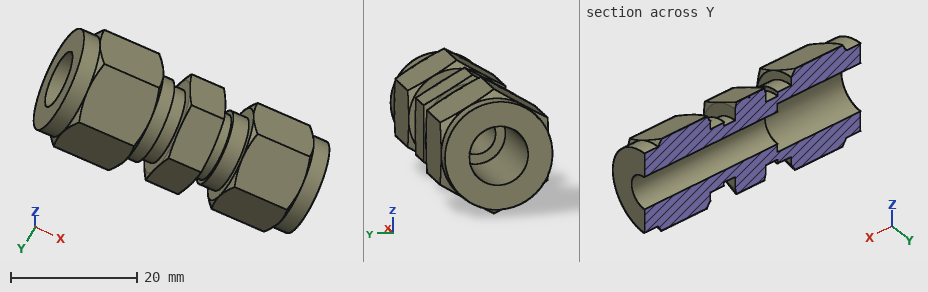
import cadquery as cq
import math


large_nut_flats = 17.46
large_collar_length = 2.85
large_nut_length = 11.33
large_ring_diameter = 14.29
large_ring_length = 2.77

body_diameter = 12.7
body_length = 2.37
body_hex_length = 6.33
neck_diameter = 11.3
neck_length = 2.2

small_nut_flats = 15.875
body_hex_flats = small_nut_flats
small_ring_diameter = 12.7
small_ring_length = 2.8
small_nut_length = 10.75
small_collar_length = 2.79

bore_diameter = 6.35
socket_diameter = 9.525
socket_depth = large_collar_length + large_nut_length + large_ring_length

nut_chamfer_angle = 30
body_chamfer_angle = 12


def rod(start, length, diameter):
    """Cylinder on the X axis."""
    return cq.Workplane("YZ").workplane(offset=start).circle(diameter / 2).extrude(length)


def chamfered_hex(start, length, flats, chamfer_angle):
    """Hexagon with corners up and down, its corners turned conically at both ends."""
    corner_diameter = flats / math.cos(math.radians(30))
    hexagon = (
        cq.Workplane("YZ")
        .workplane(offset=start)
        .transformed(rotate=(0, 0, 90))
        .polygon(6, corner_diameter)
        .extrude(length)
    )
    flat_radius = flats / 2
    corner_radius = corner_diameter / 2
    chamfer_length = (corner_radius - flat_radius) * math.tan(math.radians(chamfer_angle))
    end = start + length
    turned_envelope = (
        cq.Workplane("XY")
        .moveTo(start, 0)
        .lineTo(start, flat_radius)
        .lineTo(start + chamfer_length, corner_radius)
        .lineTo(end - chamfer_length, corner_radius)
        .lineTo(end, flat_radius)
        .lineTo(end, 0)
        .close()
        .revolve(360, (0, 0, 0), (1, 0, 0))
    )
    return hexagon.intersect(turned_envelope)


large_nut_start = large_collar_length
large_ring_start = large_nut_start + large_nut_length
body_start = large_ring_start + large_ring_length
body_hex_start = body_start + body_length
neck_start = body_hex_start + body_hex_length
small_ring_start = neck_start + neck_length
small_nut_start = small_ring_start + small_ring_length
small_collar_start = small_nut_start + small_nut_length
total_length = small_collar_start + small_collar_length

sections = [
    rod(0, large_collar_length, large_nut_flats),
    chamfered_hex(large_nut_start, large_nut_length, large_nut_flats, nut_chamfer_angle),
    rod(large_ring_start, large_ring_length, large_ring_diameter),
    rod(body_start, body_length, body_diameter),
    chamfered_hex(body_hex_start, body_hex_length, body_hex_flats, body_chamfer_angle),
    rod(neck_start, neck_length, neck_diameter),
    rod(small_ring_start, small_ring_length, small_ring_diameter),
    chamfered_hex(small_nut_start, small_nut_length, small_nut_flats, nut_chamfer_angle),
    rod(small_collar_start, small_collar_length, small_nut_flats),
]
union = sections[0]
for section in sections[1:]:
    union = union.union(section)

through_bore = rod(0, total_length, bore_diameter)
tube_socket = rod(0, socket_depth, socket_diameter)
result = union.cut(through_bore).cut(tube_socket)